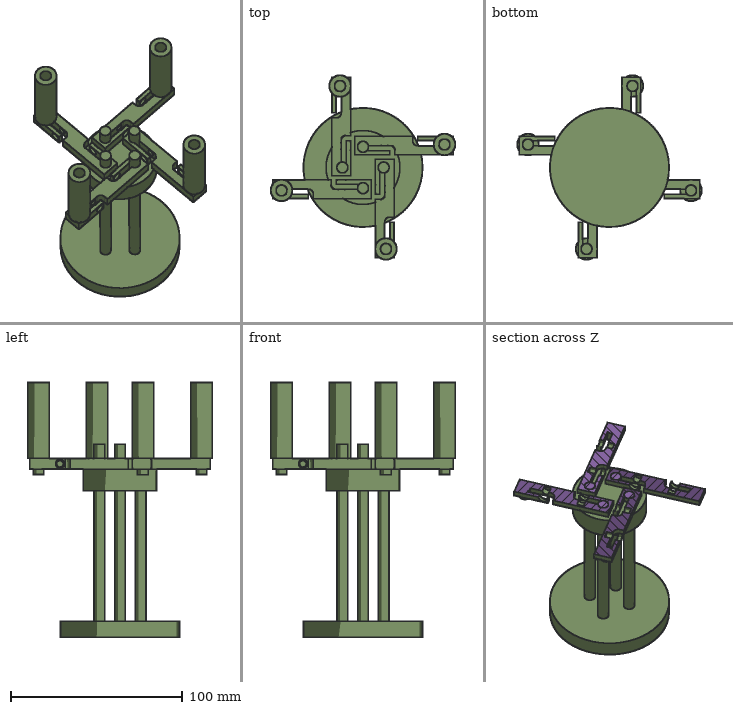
import cadquery as cq

OVERALL_HEIGHT = 149.1
OVERALL_SPAN = 108.0
ARM_COUNT = 4

BASE_DIAMETER = 69.8
BASE_THICKNESS = 9.5
ROD_DIAMETER = 6.4
ROD_RISE = 8.3

COLLAR_DIAMETER = 43.2
COLLAR_THICKNESS = 12.7

TUBE_DIAMETER = 12.7
TUBE_LENGTH = 44.5
STEM_DROP = 3.1

ARM_THICKNESS = 6.3
ARM_WIDTH = 10.9
ARM_SIDE_OFFSET = 7.3
GRIP_OFFSET = 4.8
INNER_END_MARGIN = 4.9
OUTER_END_MARGIN = 5.2

LIP_THICKNESS = 2.5
SLOT_WIDTH = 3.0
SLOT_REACH = 18.6
SCREW_EDGE = 3.1
CLEARANCE_DIAMETER = 5.0
TAP_DIAMETER = 3.9
TAP_DEPTH = 3.7

ARM_TOP = OVERALL_HEIGHT - TUBE_LENGTH
ARM_BOTTOM = ARM_TOP - ARM_THICKNESS
ARM_MIDDLE = ARM_BOTTOM + ARM_THICKNESS / 2
COLLAR_BOTTOM = ARM_BOTTOM - COLLAR_THICKNESS
ROD_TOP = ARM_TOP + ROD_RISE

ARM_NEAR_Y = -ARM_SIDE_OFFSET
ARM_FAR_Y = ARM_NEAR_Y - ARM_WIDTH
ROD_X = 0.0
ROD_Y = ARM_NEAR_Y - GRIP_OFFSET
TUBE_X = -(OVERALL_SPAN - TUBE_DIAMETER) / 2
TUBE_Y = ARM_FAR_Y + GRIP_OFFSET
ARM_INNER_X = ROD_X + INNER_END_MARGIN
ARM_OUTER_X = TUBE_X - OUTER_END_MARGIN


def cylinder(diameter, bottom, top, x=0.0, y=0.0):
    """Vertical cylinder between two levels."""
    return cq.Workplane("XY", origin=(x, y, bottom)).circle(diameter / 2).extrude(top - bottom)


def rods(bottom, top):
    """Cylinders at the four rod places, between two levels."""
    return (
        cq.Workplane("XY", origin=(0, 0, bottom))
        .polarArray(-ROD_Y, 0, 360, ARM_COUNT)
        .circle(ROD_DIAMETER / 2)
        .extrude(top - bottom)
    )


def make_stand():
    """Round base with its four upright rods."""
    return cylinder(BASE_DIAMETER, 0, BASE_THICKNESS).union(rods(0, ROD_TOP))


def make_collar():
    """Disc that slides on the rods and carries the arms."""
    collar = cylinder(COLLAR_DIAMETER, COLLAR_BOTTOM, ARM_BOTTOM)
    return collar.cut(rods(COLLAR_BOTTOM, ARM_BOTTOM))


def clamp_cut(grip_x, along, lip_y, inward):
    """Slot and screw hole of one split clamp.

    along is the X sign from the grip towards the slot exit, and inward the Y sign
    from the lip side into the arm.
    """
    lip_end_x = grip_x + along * (SLOT_REACH - SLOT_WIDTH)
    far_wall_x = grip_x + along * SLOT_REACH
    lip_inside_y = lip_y + inward * LIP_THICKNESS
    slot_bottom_y = lip_inside_y + inward * SLOT_WIDTH
    arc = SLOT_WIDTH * 0.5 ** 0.5

    slot = (
        cq.Workplane("XY", origin=(0, 0, ARM_BOTTOM))
        .moveTo(grip_x, lip_inside_y)
        .lineTo(lip_end_x, lip_inside_y)
        .lineTo(lip_end_x, lip_y)
        .lineTo(far_wall_x, lip_y)
        .lineTo(far_wall_x, lip_inside_y)
        .threePointArc(
            (lip_end_x + along * arc, lip_inside_y + inward * arc),
            (lip_end_x, slot_bottom_y),
        )
        .lineTo(grip_x, slot_bottom_y)
        .close()
        .extrude(ARM_THICKNESS)
    )

    screw_x = lip_end_x - along * SCREW_EDGE
    direction = cq.Vector(0, inward, 0)
    clearance = cq.Solid.makeCylinder(
        CLEARANCE_DIAMETER / 2, LIP_THICKNESS, cq.Vector(screw_x, lip_y, ARM_MIDDLE), direction
    )
    tap = cq.Solid.makeCylinder(
        TAP_DIAMETER / 2, TAP_DEPTH, cq.Vector(screw_x, slot_bottom_y, ARM_MIDDLE), direction
    )
    return slot.add(clearance).add(tap).combine()


def make_arm():
    """Arm pointing to -X: clamped on a rod at one end, tube and stem at the other."""
    arm = (
        cq.Workplane("XY", origin=(0, 0, ARM_BOTTOM))
        .moveTo(ARM_OUTER_X, ARM_FAR_Y)
        .lineTo(ARM_INNER_X, ARM_FAR_Y)
        .lineTo(ARM_INNER_X, ARM_NEAR_Y)
        .lineTo(ARM_OUTER_X, ARM_NEAR_Y)
        .close()
        .extrude(ARM_THICKNESS)
    )
    arm = arm.cut(clamp_cut(ROD_X, -1, ARM_NEAR_Y, -1))
    arm = arm.cut(clamp_cut(TUBE_X, 1, ARM_FAR_Y, 1))
    arm = arm.cut(cylinder(ROD_DIAMETER, ARM_BOTTOM, ARM_TOP, ROD_X, ROD_Y))

    stem = cylinder(ROD_DIAMETER, ARM_BOTTOM - STEM_DROP, ARM_TOP, TUBE_X, TUBE_Y)
    tube = cylinder(TUBE_DIAMETER, ARM_TOP, OVERALL_HEIGHT, TUBE_X, TUBE_Y)
    bore = cylinder(ROD_DIAMETER, ARM_TOP, OVERALL_HEIGHT, TUBE_X, TUBE_Y)
    return arm.union(stem).union(tube.cut(bore))


stand = make_stand()
collar = make_collar()

arm = make_arm()
arms = []
for index in range(ARM_COUNT):
    turned = arm.rotate((0, 0, 0), (0, 0, 1), index * 360 / ARM_COUNT)
    arms.append(turned.val())

result = cq.Compound.makeCompound([stand.val(), collar.val(), *arms])